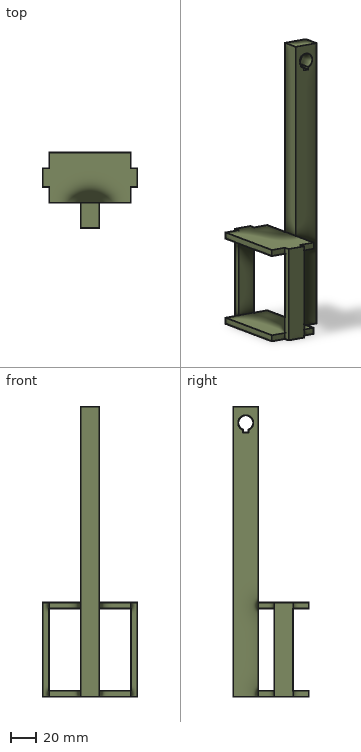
import cadquery as cq

overall_height = 230.0
overall_depth = 60.0
frame_width = 75.0
frame_height = 75.0
bar_thickness = 5.0
column_width = 15.0
column_depth = 20.0
strut_depth = 15.0

hole_diameter = 11.7
hole_drop = 12.9
key_width = 4.1
key_reach = 7.5

plate_width = frame_width - 2 * bar_thickness
plate_depth = overall_depth - column_depth
plate_center_y = plate_depth / 2
hole_z = overall_height - hole_drop


def block(width, depth, height, x, y, base_z):
    """Box centred at x, y and standing on base_z."""
    return cq.Workplane("XY").box(width, depth, height, centered=(True, True, False)).translate((x, y, base_z))


def keyed_hole():
    """Cutter along X: a round hole with a keyway at its bottom."""
    bore = (
        cq.Workplane("YZ")
        .center(-column_depth / 2, hole_z)
        .circle(hole_diameter / 2)
        .extrude(column_width, both=True)
    )
    keyway = block(2 * column_width, key_width, key_reach, 0, -column_depth / 2, hole_z - key_reach)
    return bore.union(keyway)


column = block(column_width, column_depth, overall_height, 0, -column_depth / 2, 0)
result = column.cut(keyed_hole())

for base_z in (0, frame_height - bar_thickness):
    result = result.union(block(plate_width, plate_depth, bar_thickness, 0, plate_center_y, base_z))

for side in (-1, 1):
    strut_x = side * (frame_width - bar_thickness) / 2
    result = result.union(block(bar_thickness, strut_depth, frame_height, strut_x, plate_center_y, 0))